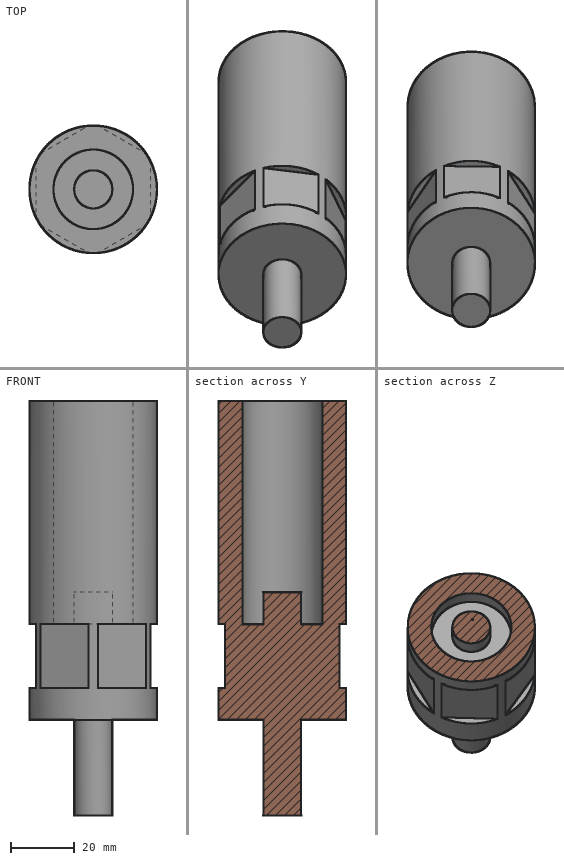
import cadquery as cq

total_height = 130.0
body_diameter = 40.0
bore_diameter = 25.0
rod_diameter = 12.0

rod_length = 30.0
collar_height = 10.0
hex_height = 20.0
hex_across_flats = 36.0
hex_sides = 6

rod_protrusion = 10.0

hex_bottom = rod_length + collar_height
sleeve_bottom = hex_bottom + hex_height


def cylinder(diameter, bottom, top):
    """Vertical cylinder on the Z axis between two heights."""
    return cq.Workplane("XY").workplane(offset=bottom).circle(diameter / 2).extrude(top - bottom)


def cut_wrench_flats(body):
    """Cut six flats into the round body, with one pair facing along X."""
    flat_distance = hex_across_flats / 2
    cutter_depth = body_diameter / 2
    cutter = cq.Workplane("XY").box(
        cutter_depth, body_diameter, hex_height, centered=(False, True, False)
    ).translate((flat_distance, 0, hex_bottom))
    for side in range(hex_sides):
        body = body.cut(cutter.rotate((0, 0, 0), (0, 0, 1), side * 360 / hex_sides))
    return body


body = cut_wrench_flats(cylinder(body_diameter, rod_length, total_height))

body = body.cut(cylinder(bore_diameter, sleeve_bottom, total_height))

result = body.union(cylinder(rod_diameter, 0, sleeve_bottom + rod_protrusion))